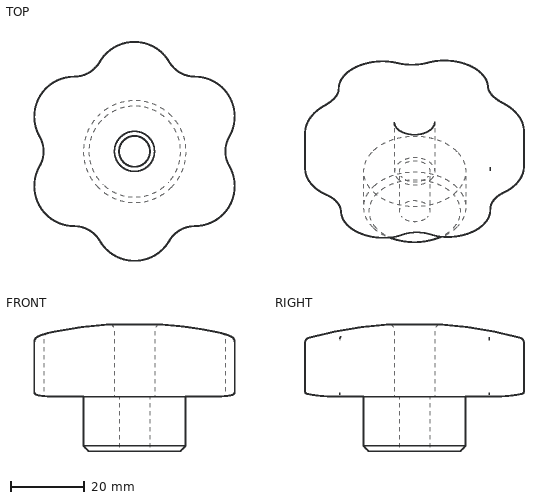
import cadquery as cq
import math

total_height = 34.8
stem_height = 15.0
stem_diameter = 28.0
stem_chamfer = 1.5

lobe_count = 6
tip_radius = 30.0
lobe_radius = 11.0

dome_radius = 109.75
rim_fillet = 1.5
underside_flat_radius = 22.2
underside_curve_radius = 36.0
underside_fillet = 0.7
rim_band_height = 3.0

clearance = 0.6

through_diameter = 8.4
counterbore_diameter = 11.0
counterbore_floor = stem_height
mouth_diameter = 14.15

lobe_pitch_radius = tip_radius - lobe_radius
valley_center_radius = lobe_pitch_radius * math.sqrt(3)
valley_arc_radius = lobe_pitch_radius - lobe_radius
valley_floor_radius = valley_center_radius - valley_arc_radius
lobe_step = 360.0 / lobe_count


def polar(radius, degrees):
    angle = math.radians(degrees)
    return (radius * math.cos(angle), radius * math.sin(angle))


def lobe_point(lobe_angle, side_angle):
    """Point on a lobe arc, side_angle away from its outward direction."""
    center_x, center_y = polar(lobe_pitch_radius, lobe_angle)
    offset_x, offset_y = polar(lobe_radius, lobe_angle + side_angle)
    return (center_x + offset_x, center_y + offset_y)


def make_lobed_prism():
    first_angle = 90.0
    outline = cq.Workplane("XY").workplane(offset=stem_height)
    outline = outline.moveTo(*lobe_point(first_angle, -lobe_step))
    for index in range(lobe_count):
        angle = first_angle + index * lobe_step
        outline = outline.threePointArc(polar(tip_radius, angle), lobe_point(angle, lobe_step))
        outline = outline.threePointArc(
            polar(valley_floor_radius, angle + lobe_step / 2),
            lobe_point(angle + lobe_step, -lobe_step),
        )
    return outline.close().extrude(total_height - stem_height + clearance)


def make_head_envelope():
    """Solid of revolution with the domed top and the raised outer underside."""
    mouth_radius = mouth_diameter / 2
    outer_radius = tip_radius + clearance

    dome_center = total_height - math.sqrt(dome_radius**2 - mouth_radius**2)

    def dome_height(radius):
        return dome_center + math.sqrt(dome_radius**2 - radius**2)

    def underside_height(radius):
        run = radius - underside_flat_radius
        return stem_height + underside_curve_radius - math.sqrt(underside_curve_radius**2 - run**2)

    curve_middle = (underside_flat_radius + outer_radius) / 2
    return (
        cq.Workplane("XZ")
        .moveTo(0, stem_height)
        .lineTo(underside_flat_radius, stem_height)
        .threePointArc(
            (curve_middle, underside_height(curve_middle)),
            (outer_radius, underside_height(outer_radius)),
        )
        .lineTo(outer_radius, dome_height(outer_radius))
        .threePointArc((outer_radius / 2, dome_height(outer_radius / 2)), (0, dome_height(0)))
        .close()
        .revolve(360, (0, 0), (0, 1))
    )


def is_on_rim(edge):
    start = edge.startPoint()
    return math.hypot(start.x, start.y) > (underside_flat_radius + valley_floor_radius) / 2


def make_head():
    head = make_lobed_prism().intersect(make_head_envelope())
    head = head.faces(">Z").edges().fillet(rim_fillet)
    rim_edges = [
        edge
        for edge in head.edges("not |Z").vals()
        if edge.Center().z < stem_height + rim_band_height and is_on_rim(edge)
    ]
    return head.newObject(rim_edges).fillet(underside_fillet)


def make_stem():
    stem = cq.Workplane("XY").circle(stem_diameter / 2).extrude(stem_height + clearance)
    return stem.faces("<Z").chamfer(stem_chamfer)


def make_bore():
    """Through hole, counterbore and rounded mouth as one cutting tool."""
    through_radius = through_diameter / 2
    counterbore_radius = counterbore_diameter / 2
    mouth_radius = mouth_diameter / 2
    mouth_round = mouth_radius - counterbore_radius
    diagonal = mouth_round * math.sqrt(0.5)
    return (
        cq.Workplane("XZ")
        .lineTo(through_radius, 0)
        .lineTo(through_radius, counterbore_floor)
        .lineTo(counterbore_radius, counterbore_floor)
        .lineTo(counterbore_radius, total_height - mouth_round)
        .threePointArc(
            (mouth_radius - diagonal, total_height - mouth_round + diagonal),
            (mouth_radius, total_height),
        )
        .lineTo(mouth_radius, total_height + clearance)
        .lineTo(0, total_height + clearance)
        .close()
        .revolve(360, (0, 0), (0, 1))
    )


result = make_head().union(make_stem()).cut(make_bore())